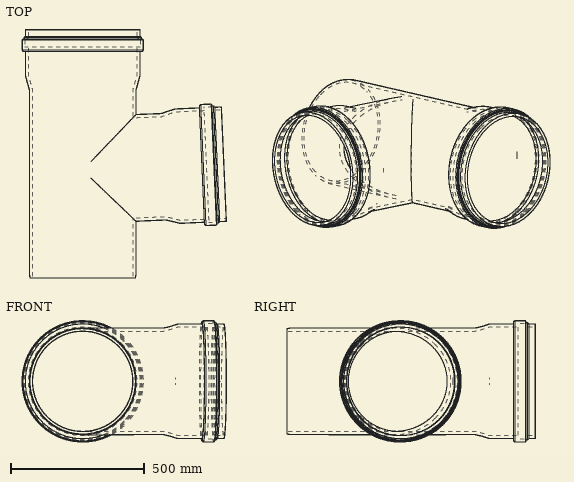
import cadquery as cq

PIPE_RADIUS = 400.0 / 2
BORE_RADIUS = 375.0 / 2
RUN_LENGTH = 930.0
SPIGOT_BEVEL_LENGTH = 12.0
SPIGOT_BEVEL_DEPTH = 3.0

BRANCH_HEIGHT = 404.0
BRANCH_LENGTH = 529.0
BRANCH_LEAN = 2.5

SOCKET_RADIUS = 430.0 / 2
SOCKET_BORE_RADIUS = 406.0 / 2
RIB_RADIUS = 455.0 / 2
SEAL_GROOVE_RADIUS = 432.0 / 2
COLLAR_RADIUS = 219.5
RIB_FACE_RADIUS = 223.0

LIP_END = 25.0
COLLAR_START = 30.0
RIB_START = 35.0
RIB_SHOULDER = 38.0
RIB_END = 77.0
RIB_FOOT = 83.0
FLARE_MOUTH = 173.0
FLARE_ROOT = 226.0
WALL = SOCKET_RADIUS - SOCKET_BORE_RADIUS


def revolve_profile(points):
    """Turn (radius, height) points about the vertical line of the XY sketch."""
    return cq.Workplane("XY").polyline(points).close().revolve(360, (0, 0), (0, 1))


def socket_outside(mouth):
    """Outer profile from the flare root to the mouth, along +Y."""
    return [
        (PIPE_RADIUS, mouth - FLARE_ROOT),
        (SOCKET_RADIUS, mouth - FLARE_MOUTH),
        (SOCKET_RADIUS, mouth - RIB_FOOT),
        (RIB_FACE_RADIUS, mouth - RIB_FOOT),
        (RIB_RADIUS, mouth - RIB_END),
        (RIB_RADIUS, mouth - RIB_SHOULDER),
        (RIB_FACE_RADIUS, mouth - RIB_START),
        (COLLAR_RADIUS, mouth - RIB_START),
        (COLLAR_RADIUS, mouth - COLLAR_START),
        (SOCKET_RADIUS, mouth - LIP_END),
        (SOCKET_RADIUS, mouth),
        (0, mouth),
    ]


def socket_inside(mouth):
    """Inner profile from the flare root to the mouth, with the seal groove in the rib."""
    return [
        (BORE_RADIUS, mouth - FLARE_ROOT),
        (SOCKET_BORE_RADIUS, mouth - FLARE_MOUTH),
        (SOCKET_BORE_RADIUS, mouth - RIB_END + WALL),
        (SEAL_GROOVE_RADIUS, mouth - RIB_END + WALL),
        (SEAL_GROOVE_RADIUS, mouth - RIB_SHOULDER),
        (SOCKET_BORE_RADIUS, mouth - COLLAR_START),
        (SOCKET_BORE_RADIUS, mouth),
        (0, mouth),
    ]


def place_branch(body):
    """Swing a body from +Y to the branch direction and lift it to the junction."""
    swing = BRANCH_LEAN - 90
    return body.rotate((0, 0, 0), (0, 0, 1), swing).translate((0, BRANCH_HEIGHT, 0))


spigot = [
    (0, 0),
    (PIPE_RADIUS - SPIGOT_BEVEL_DEPTH, 0),
    (PIPE_RADIUS, SPIGOT_BEVEL_LENGTH),
]
run_outside = revolve_profile(spigot + socket_outside(RUN_LENGTH))
run_inside = revolve_profile([(0, 0), (BORE_RADIUS, 0)] + socket_inside(RUN_LENGTH))

branch_outside = revolve_profile([(0, 0), (PIPE_RADIUS, 0)] + socket_outside(BRANCH_LENGTH))
branch_inside = revolve_profile([(0, 0), (BORE_RADIUS, 0)] + socket_inside(BRANCH_LENGTH))

outside = run_outside.union(place_branch(branch_outside))
result = outside.cut(run_inside).cut(place_branch(branch_inside))